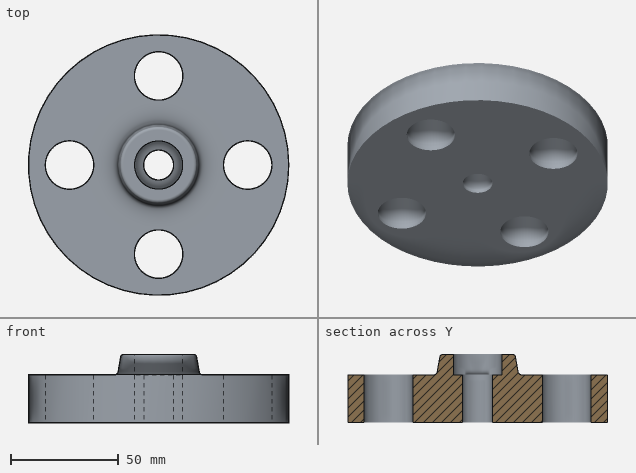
import cadquery as cq
import math

flange_diameter = 120.6
total_height = 31.7
flange_thickness = 22.3

bolt_count = 4
bolt_circle_diameter = 82.5
bolt_hole_diameter = 22.3

hub_height = total_height - flange_thickness
hub_base_diameter = 38.1
hub_taper_angle = 10.0
hub_fillet = 1.5

socket_diameter = 22.3
socket_depth = 9.5
bore_diameter = 13.8


def make_body():
    """Revolve the flange disc and its tapered hub in one piece."""
    flange_radius = flange_diameter / 2
    hub_base_radius = hub_base_diameter / 2
    hub_top_radius = hub_base_radius - hub_height * math.tan(math.radians(hub_taper_angle))
    profile = (
        cq.Workplane("XZ")
        .moveTo(0, 0)
        .lineTo(flange_radius, 0)
        .lineTo(flange_radius, flange_thickness)
        .lineTo(hub_base_radius, flange_thickness)
        .lineTo(hub_top_radius, total_height)
        .lineTo(0, total_height)
        .close()
    )
    return profile.revolve(360, (0, 0, 0), (0, 1, 0))


def round_hub(body):
    """Round the two circular ends of the hub's conical wall."""
    return body.faces("%CONE").edges("%CIRCLE").fillet(hub_fillet)


def cut_socket_and_bore(body):
    return body.faces(">Z").workplane().cboreHole(bore_diameter, socket_diameter, socket_depth)


def cut_bolt_holes(body):
    holes = (
        cq.Workplane("XY")
        .polarArray(bolt_circle_diameter / 2, 0, 360, bolt_count)
        .circle(bolt_hole_diameter / 2)
        .extrude(flange_thickness)
    )
    return body.cut(holes)


result = cut_bolt_holes(cut_socket_and_bore(round_hub(make_body())))